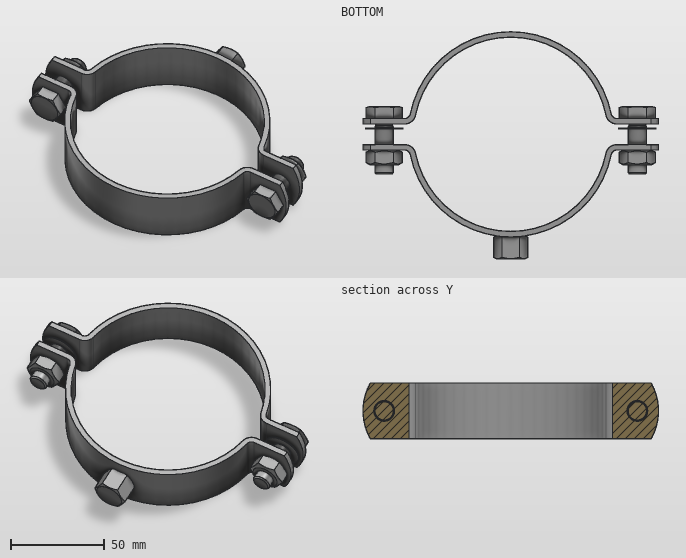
import cadquery as cq
import math


overall_length = 158.6
band_width = 30.0
band_thickness = 3.0
ring_outer_radius = 55.0
ring_inner_radius = ring_outer_radius - band_thickness
flange_gap = 11.0
flange_inner_y = flange_gap / 2
flange_outer_y = flange_inner_y + band_thickness
bend_inner_radius = 3.0
bend_outer_radius = bend_inner_radius + band_thickness
flange_end_sagitta = 4.0
bolt_hole_diameter = 11.0

bolt_x = 67.9
hex_flats = 17.0
head_height = 6.3
head_face_diameter = 16.5
head_chamfer_angle = 20.0
nut_height = 8.1
nut_top_diameter = 14.6
nut_bottom_diameter = 15.4
shank_diameter = 9.2
thread_diameter = 10.0
bolt_tip_diameter = 8.4
bolt_tip_y = 21.4
bolt_tip_chamfer = (thread_diameter - bolt_tip_diameter) / 2
thread_start_y = -3.8
thread_runout = 0.8
washer_diameter = 20.0
washer_thickness = 0.5
washer_bottom_y = -3.3

boss_flats = 16.0
boss_top_y = 67.0
boss_sink = 0.8
boss_bottom_y = ring_outer_radius - boss_sink
boss_face_diameter = 15.0

chamfer_angle = 30.0
overlap = 1.6


def polar(center, radius, angle):
    """Point at a distance and angle (radians) from a centre."""
    return (center[0] + radius * math.cos(angle), center[1] + radius * math.sin(angle))


def mirrored(point):
    return (-point[0], point[1])


def cylinder_y(diameter, bottom_y, top_y):
    """Cylinder on the Y axis between two heights."""
    return cq.Workplane("XZ", origin=(0, bottom_y, 0)).circle(diameter / 2).extrude(bottom_y - top_y)


def cone_y(bottom_diameter, top_diameter, bottom_y, top_y):
    """Truncated cone on the Y axis between two heights."""
    outline = [(0, bottom_y), (bottom_diameter / 2, bottom_y), (top_diameter / 2, top_y), (0, top_y)]
    return cq.Workplane("XY").polyline(outline).close().revolve(360, (0, 0), (0, 1))


def hexagon_y(flats, bottom_y, top_y, bottom_face=None, top_face=None, angle=chamfer_angle):
    """Hexagonal prism along Y, corners toward +X and -X, with optional conical end chamfers."""
    corners = flats / math.cos(math.radians(30))
    height = top_y - bottom_y
    widening = 2 * height / math.tan(math.radians(angle))
    prism = cq.Workplane("XZ", origin=(0, bottom_y, 0)).polygon(6, corners).extrude(-height)
    if bottom_face:
        prism = prism.intersect(cone_y(bottom_face, bottom_face + widening, bottom_y, top_y))
    if top_face:
        prism = prism.intersect(cone_y(top_face + widening, top_face, bottom_y, top_y))
    return prism


def half_band():
    """Upper half of the band: an arc that bends outward into a flat flange at each end."""
    bend_y = flange_outer_y + bend_inner_radius
    bend_distance = ring_outer_radius + bend_inner_radius
    bend_x = math.sqrt(bend_distance**2 - bend_y**2)
    bend_center = (bend_x, bend_y)
    ring_angle = math.atan2(bend_y, bend_x)
    bend_middle_angle = (math.pi + ring_angle + 1.5 * math.pi) / 2

    ring_outer_end = polar((0, 0), ring_outer_radius, ring_angle)
    ring_inner_end = polar((0, 0), ring_inner_radius, ring_angle)
    bend_inner_middle = polar(bend_center, bend_inner_radius, bend_middle_angle)
    bend_outer_middle = polar(bend_center, bend_outer_radius, bend_middle_angle)
    flange_outer_start = (bend_x, flange_outer_y)
    flange_inner_start = (bend_x, flange_inner_y)
    tip_x = overall_length / 2

    return (
        cq.Workplane("XY", origin=(0, 0, -band_width / 2))
        .moveTo(tip_x, flange_outer_y)
        .lineTo(*flange_outer_start)
        .threePointArc(bend_inner_middle, ring_outer_end)
        .threePointArc((0, ring_outer_radius), mirrored(ring_outer_end))
        .threePointArc(mirrored(bend_inner_middle), mirrored(flange_outer_start))
        .lineTo(-tip_x, flange_outer_y)
        .lineTo(-tip_x, flange_inner_y)
        .lineTo(*mirrored(flange_inner_start))
        .threePointArc(mirrored(bend_outer_middle), mirrored(ring_inner_end))
        .threePointArc((0, ring_inner_radius), ring_inner_end)
        .threePointArc(bend_outer_middle, flange_inner_start)
        .lineTo(tip_x, flange_inner_y)
        .close()
        .extrude(band_width)
    )


def band():
    """Both band halves, with rounded flange ends and bolt clearance holes."""
    upper = half_band()
    halves = upper.union(upper.mirror("XZ"))

    tip_x = overall_length / 2
    corner_x = tip_x - flange_end_sagitta
    half_width = band_width / 2
    end_outline = (
        cq.Workplane("XZ")
        .moveTo(-corner_x, -half_width)
        .lineTo(corner_x, -half_width)
        .threePointArc((tip_x, 0), (corner_x, half_width))
        .lineTo(-corner_x, half_width)
        .threePointArc((-tip_x, 0), (-corner_x, -half_width))
        .close()
        .extrude(ring_outer_radius + overlap, both=True)
    )
    halves = halves.intersect(end_outline)
    for x in (-bolt_x, bolt_x):
        hole = cylinder_y(bolt_hole_diameter, -flange_outer_y - overlap, flange_outer_y + overlap)
        halves = halves.cut(hole.translate((x, 0, 0)))
    return halves


def bolt_set():
    """Bolt on the Y axis with its head, thread, retaining washer and nut."""
    head_top_y = -flange_outer_y
    nut_bottom_y = flange_outer_y
    chamfer_start_y = bolt_tip_y - bolt_tip_chamfer

    head = hexagon_y(
        hex_flats, head_top_y - head_height, head_top_y,
        bottom_face=head_face_diameter, angle=head_chamfer_angle,
    )
    shank = cylinder_y(shank_diameter, head_top_y - overlap, thread_start_y)
    runout = cone_y(shank_diameter, thread_diameter, thread_start_y - thread_runout, thread_start_y)
    thread = cylinder_y(thread_diameter, thread_start_y, chamfer_start_y)
    tip = cone_y(thread_diameter, bolt_tip_diameter, chamfer_start_y, bolt_tip_y)
    washer = cylinder_y(washer_diameter, washer_bottom_y, washer_bottom_y + washer_thickness)
    nut = hexagon_y(
        hex_flats, nut_bottom_y, nut_bottom_y + nut_height,
        bottom_face=nut_bottom_diameter, top_face=nut_top_diameter,
    )
    return head.union(shank).union(runout).union(thread).union(tip).union(washer).union(nut)


def mounting_boss():
    """Hexagonal boss, chamfered at both ends and sunk slightly into the top of the band."""
    return hexagon_y(
        boss_flats, boss_bottom_y, boss_top_y,
        bottom_face=boss_face_diameter, top_face=boss_face_diameter,
    )


result = band().union(mounting_boss())
for x in (-bolt_x, bolt_x):
    result = result.union(bolt_set().translate((x, 0, 0)))